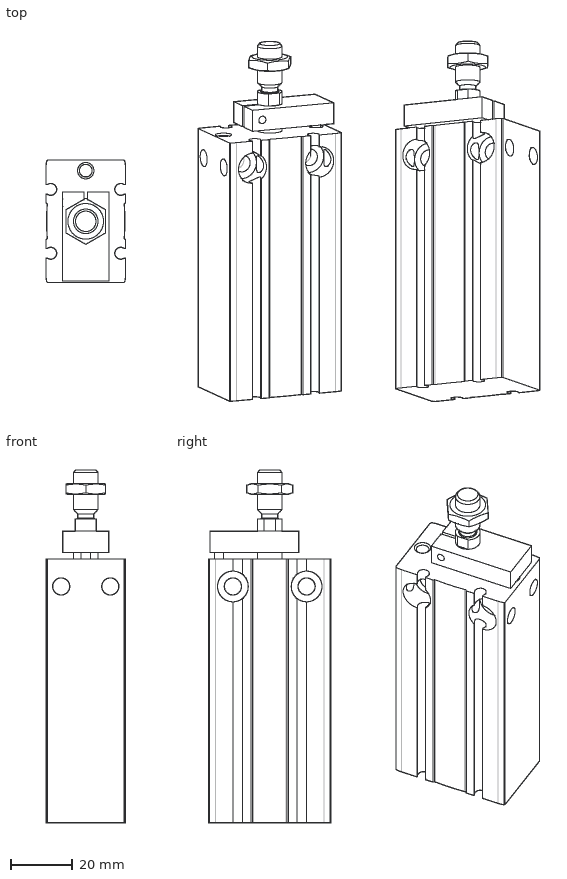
import cadquery as cq
import math


housing_width = 26.0
housing_depth = 40.0
housing_height = 86.0
corner_cut_x = 0.35
corner_cut_y = 0.35
edge_curve_radius = 8.0
edge_curve_length = 2.0
recess_half_width = 6.1
recess_wall_run = 0.4
recess_crown_half_width = 5.3
recess_depth = 0.4
recess_crown = 0.2

slot_offset = 10.4
slot_diameter = 3.8
slot_mouth = 3.1
slot_axis_depth = 1.6

mount_hole_diameter = 5.5
mount_hole_drop = 9.0
front_hole_offset = 8.0
side_hole_offset = 12.0
counterbore_diameter = 10.0
counterbore_depth = 8.0
port_diameter = 4.13
port_mouth_diameter = 5.33
port_y = 16.5
port_depth = 8.0
drill_point_angle = 118.0

plate_width = 15.0
plate_gap = 2.0
plate_thickness = 7.0
plate_back_y = 9.5
plate_front_y = -19.5
clamp_slit_width = 1.0
clamp_hole_diameter = 2.46
clamp_hole_y = 6.0

rod_diameter = 8.0
rod_insertion = 20.0
rod_across_flats = 7.0
rod_flats_length = 4.0
neck_diameter = 5.33
neck_foot_diameter = 5.9
neck_and_taper_length = 3.0
rod_top = 115.0
thread_root_diameter = 6.65
tip_chamfer_height = 0.9

guide_diameter = 3.0
guide_y = -16.5
guide_insertion = 20.0
guide_bore_diameter = 3.4
guide_countersink_diameter = 4.55
guide_plate_insertion = 5.0

nut_across_flats = 13.0
nut_thickness = 3.7
nut_base = 106.9
nut_face_diameter = 11.6
nut_chamfer_angle = 20.0

plate_base = housing_height + plate_gap
plate_top = plate_base + plate_thickness
plate_middle = plate_base + plate_thickness / 2
rod_radius = rod_diameter / 2


def vertical_cylinder(diameter, x, y, base, top):
    return cq.Workplane("XY", origin=(x, y, base)).circle(diameter / 2).extrude(top - base)


def make_housing():
    half_x = housing_width / 2
    half_y = housing_depth / 2
    curve_end_y = half_y - corner_cut_y
    curve_start_y = curve_end_y - edge_curve_length
    edge_drop = edge_curve_radius - math.sqrt(edge_curve_radius**2 - edge_curve_length**2)
    curve_end_x = half_x - edge_drop
    floor_x = half_x - recess_depth
    floor_half_width = recess_half_width - recess_wall_run

    curve_middle_y = curve_start_y + edge_curve_length / 2
    curve_middle_x = half_x - edge_curve_radius + math.sqrt(
        edge_curve_radius**2 - (edge_curve_length / 2) ** 2
    )
    half_section = (
        cq.Workplane("XY")
        .moveTo(0, half_y)
        .lineTo(curve_end_x - corner_cut_x, half_y)
        .lineTo(curve_end_x, curve_end_y)
        .threePointArc((curve_middle_x, curve_middle_y), (half_x, curve_start_y))
        .lineTo(half_x, recess_half_width)
        .lineTo(floor_x, floor_half_width)
        .lineTo(floor_x, recess_crown_half_width)
        .threePointArc((floor_x + recess_crown, 0), (floor_x, -recess_crown_half_width))
        .lineTo(floor_x, -floor_half_width)
        .lineTo(half_x, -recess_half_width)
        .lineTo(half_x, -curve_start_y)
        .threePointArc((curve_middle_x, -curve_middle_y), (curve_end_x, -curve_end_y))
        .lineTo(curve_end_x - corner_cut_x, -half_y)
        .lineTo(0, -half_y)
        .close()
        .extrude(housing_height)
    )
    housing = half_section.union(half_section.mirror("YZ"))

    for side in (-1, 1):
        for y in (-slot_offset, slot_offset):
            slot_x = side * (half_x - slot_axis_depth)
            housing = housing.cut(vertical_cylinder(slot_diameter, slot_x, y, 0, housing_height))
            mouth = cq.Workplane("XY").box(
                2 * slot_axis_depth, slot_mouth, housing_height, centered=(True, True, False)
            )
            housing = housing.cut(mouth.translate((side * half_x, y, 0)))

    mount_hole_z = housing_height - mount_hole_drop
    front_holes = (
        cq.Workplane("XZ", origin=(0, 0, mount_hole_z))
        .pushPoints([(-front_hole_offset, 0), (front_hole_offset, 0)])
        .circle(mount_hole_diameter / 2)
        .extrude(half_y, both=True)
    )
    side_points = [(-side_hole_offset, 0), (side_hole_offset, 0)]
    side_holes = (
        cq.Workplane("YZ", origin=(0, 0, mount_hole_z))
        .pushPoints(side_points)
        .circle(mount_hole_diameter / 2)
        .extrude(half_x, both=True)
    )
    counterbores = (
        cq.Workplane("YZ", origin=(half_x - counterbore_depth, 0, mount_hole_z))
        .pushPoints(side_points)
        .circle(counterbore_diameter / 2)
        .extrude(counterbore_depth)
    )
    housing = housing.cut(front_holes).cut(side_holes)
    housing = housing.cut(counterbores).cut(counterbores.mirror("YZ"))

    housing = housing.cut(make_port())
    housing = housing.cut(
        vertical_cylinder(rod_diameter, 0, 0, housing_height - rod_insertion, housing_height)
    )
    housing = housing.cut(
        vertical_cylinder(guide_bore_diameter, 0, guide_y, housing_height - guide_insertion, housing_height)
    )
    return housing.cut(make_guide_countersink())


def make_guide_countersink():
    """A 45 degree cone at the mouth of the guide pin's clearance bore."""
    mouth_radius = guide_countersink_diameter / 2
    cone = cq.Solid.makeCone(0, mouth_radius, mouth_radius)
    return cq.Workplane(obj=cone).translate((0, guide_y, housing_height - mouth_radius))


def make_port():
    """Drilled and countersunk port, revolved about its own axis."""
    radius = port_diameter / 2
    mouth_radius = port_mouth_diameter / 2
    mouth_depth = mouth_radius - radius
    point_height = radius / math.tan(math.radians(drill_point_angle / 2))
    return (
        cq.Workplane("XZ")
        .polyline([
            (0, 0),
            (mouth_radius, 0),
            (radius, -mouth_depth),
            (radius, -port_depth),
            (0, -port_depth - point_height),
        ])
        .close()
        .revolve(360, (0, 0), (0, 1))
        .translate((0, port_y, housing_height))
    )


def make_plate():
    plate_length = plate_back_y - plate_front_y
    plate = cq.Workplane("XY").box(plate_width, plate_length, plate_thickness, centered=(True, False, False))
    plate = plate.translate((0, plate_front_y, plate_base))
    plate = plate.cut(vertical_cylinder(rod_diameter, 0, 0, plate_base, plate_top))
    slit = cq.Workplane("XY").box(
        clamp_slit_width, plate_back_y, plate_thickness, centered=(True, False, False)
    )
    plate = plate.cut(slit.translate((0, 0, plate_base)))
    clamp_hole = (
        cq.Workplane("YZ", origin=(-plate_width / 2, clamp_hole_y, plate_middle))
        .circle(clamp_hole_diameter / 2)
        .extrude(plate_width / 2)
    )
    plate = plate.cut(clamp_hole)
    return plate.cut(
        vertical_cylinder(guide_diameter, 0, guide_y, plate_base, plate_base + guide_plate_insertion)
    )


def make_rod():
    neck_radius = neck_diameter / 2
    neck_foot_radius = neck_foot_diameter / 2
    neck_foot_height = neck_foot_radius - neck_radius
    flats_top = plate_top + rod_flats_length
    taper_top = flats_top + neck_and_taper_length
    taper_height = rod_radius - neck_radius
    thread_root_radius = thread_root_diameter / 2
    rod_base = housing_height - rod_insertion
    rod = (
        cq.Workplane("XZ")
        .polyline([
            (0, rod_base),
            (rod_radius, rod_base),
            (rod_radius, flats_top),
            (neck_foot_radius, flats_top),
            (neck_radius, flats_top + neck_foot_height),
            (neck_radius, taper_top - taper_height),
            (rod_radius, taper_top),
            (rod_radius, rod_top - tip_chamfer_height),
            (thread_root_radius, rod_top),
            (0, rod_top),
        ])
        .close()
        .revolve(360, (0, 0), (0, 1))
    )
    for side in (-1, 1):
        flat = cq.Workplane("XY").box(
            rod_diameter, rod_diameter, rod_flats_length, centered=(True, True, False)
        )
        rod = rod.cut(flat.translate((side * (rod_across_flats + rod_diameter) / 2, 0, plate_top)))
    return rod


def make_guide_pin():
    return vertical_cylinder(
        guide_diameter, 0, guide_y, housing_height - guide_insertion, plate_base + guide_plate_insertion
    )


def make_nut():
    """Hexagon nut with two flats facing X, chamfered on both faces."""
    across_corners = nut_across_flats / math.cos(math.pi / 6)
    corner_radius = across_corners / 2
    face_radius = nut_face_diameter / 2
    chamfer_drop = (corner_radius - face_radius) * math.tan(math.radians(nut_chamfer_angle))
    hexagon = cq.Workplane("XY").polygon(6, across_corners).extrude(nut_thickness)
    hexagon = hexagon.rotate((0, 0, 0), (0, 0, 1), 90)
    turned_blank = (
        cq.Workplane("XZ")
        .polyline([
            (rod_radius, 0),
            (face_radius, 0),
            (corner_radius, chamfer_drop),
            (corner_radius, nut_thickness - chamfer_drop),
            (face_radius, nut_thickness),
            (rod_radius, nut_thickness),
        ])
        .close()
        .revolve(360, (0, 0), (0, 1))
    )
    return hexagon.intersect(turned_blank).translate((0, 0, nut_base))


housing = make_housing()
plate = make_plate()
rod = make_rod()
guide_pin = make_guide_pin()
nut = make_nut()

result = cq.Compound.makeCompound([
    housing.val(),
    plate.val(),
    rod.val(),
    guide_pin.val(),
    nut.val(),
])